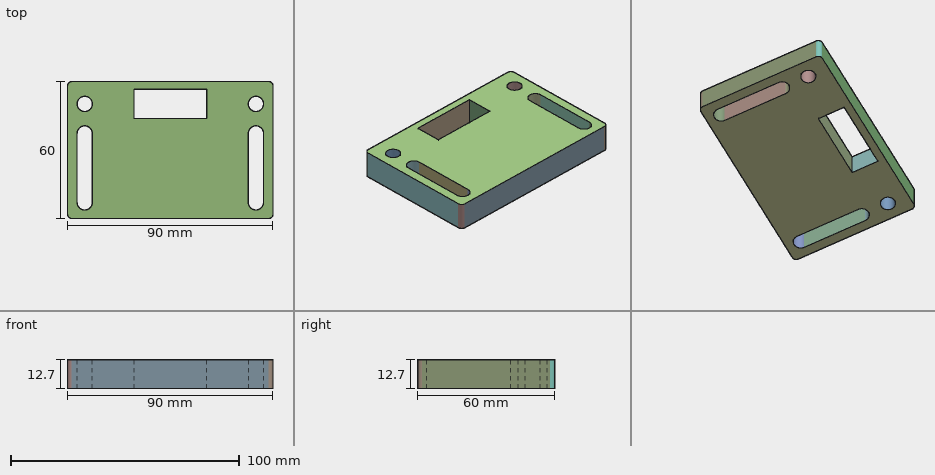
import cadquery as cq

length = 90.0
width = 60.0
thickness = 12.7
corner_radius = 2.0

hole_diameter = 6.6
hole_x = 37.4
hole_y = 20.2
slot_length = 36.7
slot_y = -7.8

window_length = 31.8
window_width = 12.7

side_positions = (-hole_x, hole_x)

plate = (
    cq.Workplane("XY")
    .box(length, width, thickness)
    .edges("|Z")
    .fillet(corner_radius)
)

holes = (
    plate.faces(">Z").workplane(origin=(0, 0, 0))
    .pushPoints([(x, hole_y) for x in side_positions])
    .hole(hole_diameter)
)

slots = (
    holes.faces(">Z").workplane(origin=(0, 0, 0))
    .pushPoints([(x, slot_y) for x in side_positions])
    .slot2D(slot_length, hole_diameter, angle=90)
    .cutThruAll()
)

result = (
    slots.faces(">Z").workplane(origin=(0, 0, 0))
    .center(0, hole_y)
    .rect(window_length, window_width)
    .cutThruAll()
)